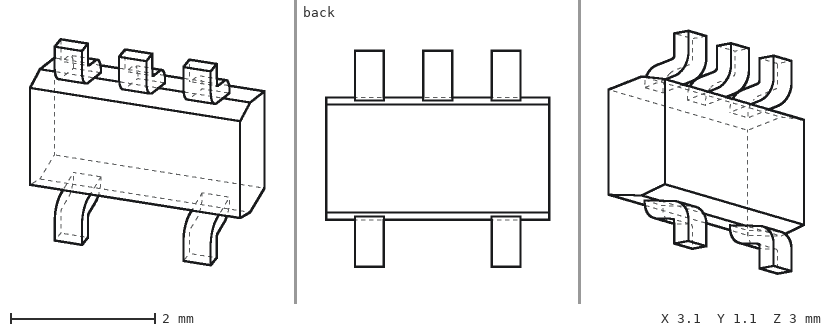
import cadquery as cq
import math

body_length = 3.1
body_depth = 1.0
overall_height = 3.0
edge_half_height = 0.75
ridge_half_height = 0.85
ridge_setback = 0.41

lead_width = 0.403
lead_pitch = 0.95
lead_thickness = 0.25
foot_standoff = 0.1
shoulder_reach = 0.775
foot_inner_radius = 0.05
root_depth = 0.062

front_y = -body_depth / 2
back_y = body_depth / 2
ridge_y = front_y + ridge_setback
foot_y = front_y - foot_standoff
rear_y = foot_y + shoulder_reach

slope = math.atan2(ridge_half_height - edge_half_height, back_y - ridge_y)


def slope_height(y):
    """Height of the rear slope line, extended past the ridge."""
    return ridge_half_height + (ridge_y - y) * math.tan(slope)


def arc_point(center, radius, angle):
    """Point on a circle in the YZ plane, with the angle measured from +Y."""
    return (center[0] + radius * math.cos(angle), center[1] + radius * math.sin(angle))


def make_body():
    outline = [
        (front_y, -edge_half_height),
        (ridge_y, -ridge_half_height),
        (back_y, -edge_half_height),
        (back_y, edge_half_height),
        (ridge_y, ridge_half_height),
        (front_y, edge_half_height),
    ]
    return cq.Workplane("YZ").polyline(outline).close().extrude(body_length / 2, both=True)


def make_upper_lead():
    """Lead on the top side, centred on X = 0."""
    tip_z = overall_height / 2
    foot_outer_radius = foot_inner_radius + lead_thickness
    normal_angle = math.pi / 2 - slope

    foot_center_y = foot_y + foot_outer_radius
    foot_center = (foot_center_y, slope_height(foot_center_y) + foot_outer_radius / math.cos(slope))
    foot_end = normal_angle - math.pi
    foot_middle = (foot_end - math.pi) / 2

    shoulder_y = rear_y - lead_thickness
    shoulder_center = (shoulder_y, slope_height(shoulder_y))

    profile = (
        cq.Workplane("YZ")
        .moveTo(foot_y, tip_z)
        .lineTo(foot_y, foot_center[1])
        .threePointArc(
            arc_point(foot_center, foot_outer_radius, foot_middle),
            arc_point(foot_center, foot_outer_radius, foot_end),
        )
        .lineTo(*shoulder_center)
        .lineTo(shoulder_y, shoulder_center[1] - root_depth)
        .lineTo(rear_y, slope_height(rear_y) - root_depth)
        .lineTo(rear_y, shoulder_center[1])
        .threePointArc(
            arc_point(shoulder_center, lead_thickness, normal_angle / 2),
            arc_point(shoulder_center, lead_thickness, normal_angle),
        )
        .lineTo(*arc_point(foot_center, foot_inner_radius, foot_end))
        .threePointArc(
            arc_point(foot_center, foot_inner_radius, foot_middle),
            (foot_y + lead_thickness, foot_center[1]),
        )
        .lineTo(foot_y + lead_thickness, tip_z)
        .close()
    )
    return profile.extrude(lead_width / 2, both=True)


upper_lead = make_upper_lead()
lower_lead = upper_lead.mirror("XY")

result = make_body()
for position in (-1, 0, 1):
    result = result.union(upper_lead.translate((position * lead_pitch, 0, 0)))
for position in (-1, 1):
    result = result.union(lower_lead.translate((position * lead_pitch, 0, 0)))